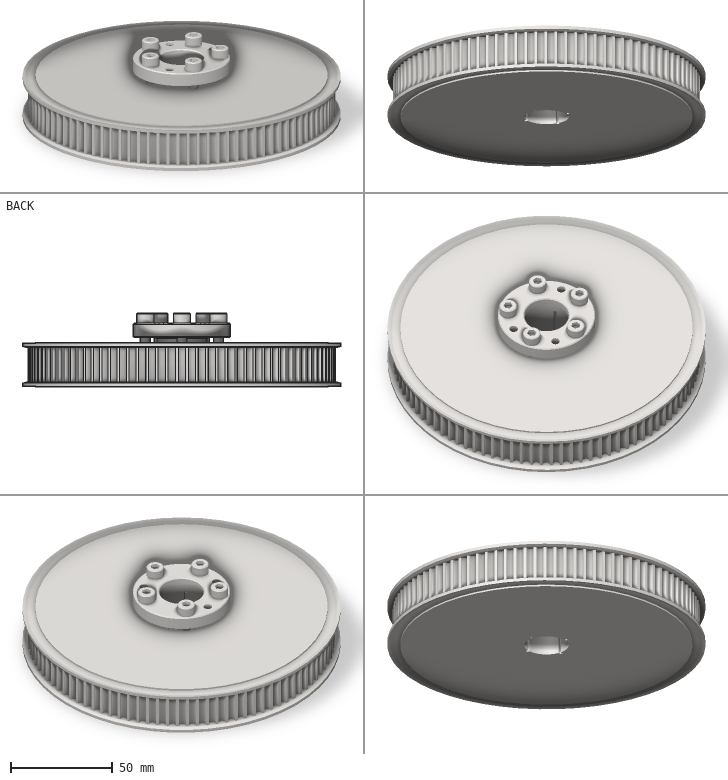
import cadquery as cq
import math

total_height = 36.5
flange_outer_diameter = 157.0

tooth_count = 96
tooth_pitch = 5.0
pitch_line_offset = 0.57
groove_depth = 2.06
groove_radius = 1.8
pulley_height = 22.0

flange_inner_radius = 72.1
flange_flare_radius = 76.6
flange_thickness = 1.6
flange_flare_rise = 0.5
shoulder_protrusion = 0.85

bush_flange_radius = 24.0
bush_flange_thickness = 7.0
bush_flange_chamfer = 0.5
bush_bore_radius = 11.0
bush_bore_chamfer = 0.5
bush_sleeve_radius = 12.4
bush_collar_radius = 12.7
bush_collar_height = 0.5
bush_slot_width = 1.5
bush_slot_drop = 1.0
bush_slot_count = 4

screw_count = 5
screw_circle_radius = 19.0
screw_first_angle = 90.0
screw_head_radius = 4.25
screw_head_height = 5.0
screw_head_chamfer = 0.4
screw_shank_radius = 2.5
screw_shank_length = 20.0
socket_across_flats = 4.0
socket_depth = 2.5
socket_cone_depth = 0.7
jack_hole_radius = 2.1
jack_hole_angles = (54.0, 126.0, 270.0)

pitch_radius = tooth_count * tooth_pitch / (2 * math.pi)
tip_radius = pitch_radius - pitch_line_offset
groove_centre_radius = tip_radius - groove_depth + groove_radius
rim_bottom = flange_thickness + shoulder_protrusion
rim_top = pulley_height - rim_bottom
screw_head_bottom = total_height - screw_head_height
bush_flange_bottom = screw_head_bottom - bush_flange_thickness
screw_tip = screw_head_bottom - screw_shank_length
socket_across_corners = socket_across_flats / math.cos(math.radians(30))
screw_angles = [screw_first_angle + i * 360.0 / screw_count for i in range(screw_count)]


def cylinder(radius, bottom, top):
    return cq.Workplane("XY").workplane(offset=bottom).circle(radius).extrude(top - bottom)


def on_circle(radius, angle):
    return (radius * math.cos(math.radians(angle)), radius * math.sin(math.radians(angle)))


def toothed_rim():
    """Rim with round-bottomed grooves; a groove is centred on the +Y axis."""
    clear_y = tip_radius + groove_depth
    groove = (
        cq.Workplane("XY")
        .workplane(offset=rim_bottom)
        .moveTo(-groove_radius, groove_centre_radius)
        .threePointArc((0, tip_radius - groove_depth), (groove_radius, groove_centre_radius))
        .lineTo(groove_radius, clear_y)
        .lineTo(-groove_radius, clear_y)
        .close()
        .extrude(rim_top - rim_bottom)
        .val()
    )
    pitch_angle = 360.0 / tooth_count
    grooves = [groove.rotate((0, 0, 0), (0, 0, 1), i * pitch_angle) for i in range(tooth_count)]
    return cylinder(tip_radius, rim_bottom, rim_top).cut(cq.Compound.makeCompound(grooves))


def make_pulley():
    """Toothed rim with end shoulders, a bore for the bush and screw holes."""
    pulley = toothed_rim().union(cylinder(flange_inner_radius, 0, pulley_height))
    pulley = pulley.cut(cylinder(bush_sleeve_radius, 0, pulley_height))
    for angle in screw_angles:
        x, y = on_circle(screw_circle_radius, angle)
        pulley = pulley.cut(cylinder(screw_shank_radius, screw_tip, pulley_height).translate((x, y, 0)))
    return pulley


def make_upper_flange():
    """Flat ring whose outer lip flares away from the teeth."""
    inner_z = rim_top
    outer_z = rim_top + flange_thickness
    flange_outer_radius = flange_outer_diameter / 2
    return (
        cq.Workplane("XZ")
        .moveTo(flange_inner_radius, inner_z)
        .lineTo(flange_flare_radius, inner_z)
        .lineTo(flange_outer_radius, inner_z + flange_flare_rise)
        .lineTo(flange_outer_radius, outer_z + flange_flare_rise)
        .lineTo(flange_flare_radius, outer_z)
        .lineTo(flange_inner_radius, outer_z)
        .close()
        .revolve(360, (0, 0, 0), (0, 1, 0))
    )


def make_lower_flange():
    """Mirror image of the upper flange about the middle of the pulley."""
    return make_upper_flange().mirror("XY", (0, 0, pulley_height / 2))


def make_bush():
    """Flanged sleeve, slotted so that it can close on the shaft."""
    flange = cylinder(bush_flange_radius, bush_flange_bottom, screw_head_bottom)
    flange = flange.edges().chamfer(bush_flange_chamfer)
    collar_bottom = bush_flange_bottom - bush_collar_height
    bush = flange.union(cylinder(bush_sleeve_radius, 0, bush_flange_bottom))
    bush = bush.union(cylinder(bush_collar_radius, collar_bottom, bush_flange_bottom))
    bush = bush.cut(cylinder(bush_bore_radius, 0, screw_head_bottom))
    bore_rim = bush.faces(">Z").edges(cq.selectors.RadiusNthSelector(0))
    bush = bore_rim.chamfer(bush_bore_chamfer)
    slot_height = bush_flange_bottom - bush_slot_drop
    slot_box = (bush_sleeve_radius, bush_slot_width, slot_height)
    slot = cq.Workplane("XY").box(*slot_box, centered=(False, True, False))
    for i in range(bush_slot_count):
        bush = bush.cut(slot.rotate((0, 0, 0), (0, 0, 1), i * 360.0 / bush_slot_count))
    for angles, radius in ((screw_angles, screw_shank_radius), (jack_hole_angles, jack_hole_radius)):
        for angle in angles:
            x, y = on_circle(screw_circle_radius, angle)
            bush = bush.cut(cylinder(radius, bush_flange_bottom, screw_head_bottom).translate((x, y, 0)))
    return bush


def make_screw(angle):
    """Socket-head cap screw with a hexagon socket ending in a drill point."""
    socket_bottom = total_height - socket_depth
    head = cylinder(screw_head_radius, screw_head_bottom, total_height)
    head = head.faces(">Z").edges().chamfer(screw_head_chamfer)
    socket = (
        cq.Workplane("XY")
        .workplane(offset=socket_bottom)
        .polygon(6, socket_across_corners)
        .extrude(socket_depth)
    )
    cone = cq.Solid.makeCone(0, socket_across_flats / 2, socket_cone_depth)
    drill_point = cq.Workplane("XY").add(cone).translate((0, 0, socket_bottom - socket_cone_depth))
    screw = head.union(cylinder(screw_shank_radius, screw_tip, screw_head_bottom))
    screw = screw.cut(socket).cut(drill_point)
    return screw.translate((screw_circle_radius, 0, 0)).rotate((0, 0, 0), (0, 0, 1), angle)


pulley = make_pulley()
upper_flange = make_upper_flange()
lower_flange = make_lower_flange()
bush = make_bush()
screws = [make_screw(angle) for angle in screw_angles]

result = cq.Compound.makeCompound(
    [pulley.val(), upper_flange.val(), lower_flange.val(), bush.val(), *[screw.val() for screw in screws]]
)